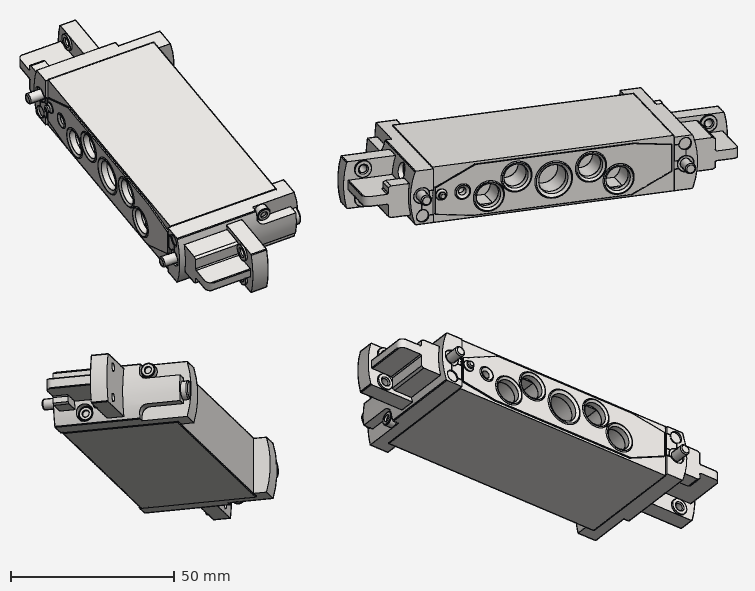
import cadquery as cq
import math


overall_length = 124.8
overall_depth = 47.5

housing_length = 78.4
housing_height = 18.3
housing_front = 0.7
housing_back = 37.8
housing_back_chamfer = 0.2
half_housing = housing_length / 2

gasket_front = 0.2
gasket_back = 2.6
gasket_half_outline = [(-38.5, 2.4), (-25.5, 8.4), (26.1, 8.4), (38.5, 6.4)]
lip_front = 0.0
lip_slope = 0.4
flare_end = 0.6

outer_port_x = 21.1
inner_port_x = 12.1
port_z = 2.6
small_port_places = [
    (-outer_port_x, -port_z),
    (-inner_port_x, port_z),
    (inner_port_x, port_z),
    (outer_port_x, -port_z),
]
small_port_diameter = 7.9
small_lip_diameter = 10.1
centre_port_diameter = 9.5
centre_lip_diameter = 12.2
port_end = 10.0
port_flat = 6.0

pilot_x = -29.6
pilot_diameter = 2.5
pilot_lip_diameter = 5.1

peg_x = -36.6
peg_diameter = 2.2
peg_base_diameter = 3.6
peg_base_front = 0.0
peg_taper_front = -0.5
peg_tip_chamfer = 0.4
peg_front = -1.5

cap_half_height = 8.9
cap_edge_x = 45.2
cap_middle_x = 46.7
cap_edge_back = 41.9
cap_middle_back = 43.2
edge_chamfer = 0.2
hook_x = 36.3

screw_x = 42.9
screw_z = 0.5
screw_diameter = 3.4
screw_tip = cap_middle_back - overall_depth
screw_tip_chamfer = 0.4
screw_bore_diameter = 5.2
screw_bore_depth = 0.6
screw_slot_depth = 0.4
screw_slot_width = 2.6
screw_head_diameter = 6.0
screw_head_back = 42.8
screw_head_chamfer = 0.4
screw_seat = 40.7

pocket_x = 43.0
pocket_front = 27.5
pocket_radius = 2.6
ridge_width = 8.2

side_screw_diameter = 4.5
side_screw_chamfer = 0.2
side_socket_diameter = 2.2
side_socket_depth = 0.7
pocket_screw_place = (30.1, -6.5)
pocket_screw_top = 45.5
sunk_screw_place = (9.9, 5.4)
sunk_screw_bore = 5.2
sunk_screw_floor = 44.0
sunk_screw_top = 44.9

vent_depth = 0.2
vent_diameter = 4.0
vent_place = (-42.7, -6.2)
vent_hole_depth = 0.6

lug_front = 17.0
lug_back = 22.3
lug_half_height = 7.7
lug_edge_x = 61.4
lug_hole_x = 56.2
lug_hole_z = 4.9
lug_hole_diameter = 2.5
lug_hole_chamfer = 0.4
lug_boss_diameter = 5.4
lug_boss_height = 0.6

tongue_x = 61.0
tongue_front = 2.0
tongue_half_height = 1.6
tongue_radius = 2.1
rib_foot_x = 53.2
rib_crest_x = 52.3
upper_rib_z = 4.2
upper_rib_back = 6.9
lower_rib_z = -6.2
rib_crest_drop = 0.5
rib_root_chamfer = 0.4


def box(x_range, y_range, z_range):
    """Axis-aligned box between the given limits."""
    (x0, x1), (y0, y1), (z0, z1) = x_range, y_range, z_range
    return cq.Workplane("XY").box(x1 - x0, y1 - y0, z1 - z0, centered=False).translate((x0, y0, z0))


def rod(x, z, diameter, front, back):
    """Cylinder along Y."""
    return cq.Workplane("XZ", origin=(x, front, z)).circle(diameter / 2).extrude(front - back)


def side_rod(place, diameter, x_inner, x_outer):
    """Cylinder along X in the left end cap, between two distances from the centre."""
    y, z = place
    plane = cq.Workplane("YZ", origin=(-x_outer, y, z))
    return plane.circle(diameter / 2).extrude(x_outer - x_inner)


def turned(outline, x, z):
    """Solid of revolution about a line along Y; the outline is in (radius, Y)."""
    profile = cq.Workplane("XY").polyline(outline).close()
    return profile.revolve(360, (0, 0, 0), (0, 1, 0)).translate((x, 0, z))


def gasket_blank(front, back):
    """Plate with the gasket outline, which maps onto itself by half a turn about Y."""
    opposite = [(-x, -z) for x, z in gasket_half_outline]
    plane = cq.Workplane("XZ", origin=(0, front, 0))
    return plane.polyline(gasket_half_outline + opposite).close().extrude(front - back)


def make_housing():
    body = box(
        (-half_housing, half_housing),
        (housing_front, housing_back),
        (-housing_height / 2, housing_height / 2),
    )
    body = body.cut(gasket_blank(housing_front, gasket_back))
    inside = box((-half_housing, half_housing), (0, port_end), (-port_flat, port_flat))
    for x, z in small_port_places:
        body = body.cut(rod(x, z, small_port_diameter, gasket_back, port_end).intersect(inside))
    body = body.cut(rod(0, 0, centre_port_diameter, gasket_back, port_end))
    body = body.cut(rod(pilot_x, 0, pilot_diameter, gasket_back, port_end))
    return body.faces(">Y").edges("|X").chamfer(housing_back_chamfer)


def make_lip(x, z, outer_diameter):
    """Raised sealing disc with a sloping edge, solid until its port is cut."""
    radius = outer_diameter / 2
    outline = [
        (0, gasket_back),
        (radius, gasket_back),
        (radius, gasket_front),
        (radius - lip_slope, lip_front),
        (0, lip_front),
    ]
    return turned(outline, x, z)


def make_port_cutter(x, z, diameter, lip_diameter):
    """Port through the gasket, flared out to the ridge of its lip."""
    radius = diameter / 2
    outline = [
        (0, gasket_back),
        (radius, gasket_back),
        (radius, flare_end),
        (lip_diameter / 2 - lip_slope, lip_front),
        (0, lip_front),
    ]
    return turned(outline, x, z)


def make_gasket():
    ports = [(x, z, small_port_diameter, small_lip_diameter) for x, z in small_port_places]
    ports.append((0, 0, centre_port_diameter, centre_lip_diameter))
    ports.append((pilot_x, 0, pilot_diameter, pilot_lip_diameter))

    seal = gasket_blank(gasket_front, gasket_back)
    for x, z, _, lip_diameter in ports:
        seal = seal.union(make_lip(x, z, lip_diameter))
    for x, z, diameter, lip_diameter in ports:
        seal = seal.cut(make_port_cutter(x, z, diameter, lip_diameter))

    peg_outline = [
        (0, gasket_back),
        (peg_base_diameter / 2, gasket_back),
        (peg_base_diameter / 2, peg_base_front),
        (peg_diameter / 2, peg_taper_front),
        (peg_diameter / 2, peg_front + peg_tip_chamfer),
        (peg_diameter / 2 - peg_tip_chamfer, peg_front),
        (0, peg_front),
    ]
    return seal.union(turned(peg_outline, peg_x, 0))


def make_cap_block():
    """Cap with bowed outer and rear sides, hooked behind the housing."""
    outer = (
        cq.Workplane("XZ")
        .moveTo(-hook_x, -cap_half_height)
        .lineTo(edge_chamfer - cap_edge_x, -cap_half_height)
        .lineTo(-cap_edge_x, edge_chamfer - cap_half_height)
        .threePointArc((-cap_middle_x, 0), (-cap_edge_x, cap_half_height - edge_chamfer))
        .lineTo(edge_chamfer - cap_edge_x, cap_half_height)
        .lineTo(-hook_x, cap_half_height)
        .close()
        .extrude(-cap_middle_back)
    )
    rear = (
        cq.Workplane("YZ", origin=(-cap_middle_x, 0, 0))
        .moveTo(0, -cap_half_height)
        .lineTo(cap_edge_back, -cap_half_height)
        .threePointArc((cap_middle_back, 0), (cap_edge_back, cap_half_height))
        .lineTo(0, cap_half_height)
        .close()
        .extrude(cap_middle_x)
    )
    housing_space = box((-half_housing, 0), (0, housing_back), (-cap_half_height, cap_half_height))
    return outer.intersect(rear).cut(housing_space)


def screw_head_space():
    """Space behind the rib, open to the outer side, that holds the main screw head."""
    return box(
        (-cap_middle_x, -pocket_x),
        (screw_seat, cap_middle_back),
        (-cap_half_height, cap_half_height),
    )


def cut_pockets(cap):
    """Two corner pockets with a rib between them, and the seat of the main screw head."""
    x_range = (-cap_middle_x, -pocket_x)
    y_range = (pocket_front, cap_middle_back)
    upper = box(x_range, y_range, (screw_z + ridge_width / 2, cap_half_height))
    lower = box(x_range, y_range, (-cap_half_height, screw_z - ridge_width / 2))
    cap = cap.cut(upper.edges("|X and <Y and <Z").fillet(pocket_radius))
    cap = cap.cut(lower.edges("|X and <Y and >Z").fillet(pocket_radius))
    return cap.cut(screw_head_space())


def cut_front_recesses(cap):
    """Screw counterbore with its slot, vent recess and shallow vent hole in the mounting face."""
    vent_x, vent_z = vent_place
    slot_z = (screw_z - screw_slot_width / 2, screw_z + screw_slot_width / 2)
    cap = cap.cut(rod(-screw_x, screw_z, screw_bore_diameter, 0, screw_bore_depth))
    cap = cap.cut(box((-screw_x, -half_housing), (0, screw_slot_depth), slot_z))
    cap = cap.cut(box((-screw_x, -half_housing), (0, vent_depth), (vent_z, screw_z)))
    return cap.cut(rod(vent_x, vent_z, vent_diameter, 0, vent_hole_depth))


def add_main_screw(cap):
    shank = rod(-screw_x, screw_z, screw_diameter, screw_tip, screw_bore_depth)
    shank = shank.faces("<Y").chamfer(screw_tip_chamfer)
    head = rod(-screw_x, screw_z, screw_head_diameter, screw_seat, screw_head_back)
    head = head.faces(">Y").chamfer(screw_head_chamfer)
    return cap.union(shank).union(head.intersect(screw_head_space()))


def make_side_screw(place, x_inner, x_outer):
    socket = side_rod(place, side_socket_diameter, x_outer - side_socket_depth, x_outer)
    screw = side_rod(place, side_screw_diameter, x_inner, x_outer)
    return screw.faces("<X").chamfer(side_screw_chamfer).cut(socket)


def add_side_screws(cap):
    cap = cap.union(make_side_screw(pocket_screw_place, pocket_x, pocket_screw_top))
    cap = cap.cut(side_rod(sunk_screw_place, sunk_screw_bore, sunk_screw_floor, cap_middle_x))
    return cap.union(make_side_screw(sunk_screw_place, sunk_screw_floor, sunk_screw_top))


def make_lug():
    """Upright plate with two bossed through holes."""
    lug = (
        cq.Workplane("XZ", origin=(0, lug_front, 0))
        .moveTo(-cap_edge_x, -lug_half_height)
        .lineTo(edge_chamfer - lug_edge_x, -lug_half_height)
        .lineTo(-lug_edge_x, edge_chamfer - lug_half_height)
        .threePointArc((-overall_length / 2, 0), (-lug_edge_x, lug_half_height - edge_chamfer))
        .lineTo(edge_chamfer - lug_edge_x, lug_half_height)
        .lineTo(-cap_edge_x, lug_half_height)
        .close()
        .extrude(lug_front - lug_back)
    )
    boss_front = lug_front - lug_boss_height
    hole_radius = lug_hole_diameter / 2
    hole_outline = [
        (0, lug_back),
        (hole_radius, lug_back),
        (hole_radius, boss_front + lug_hole_chamfer),
        (hole_radius + lug_hole_chamfer, boss_front),
        (0, boss_front),
    ]
    for z in (-lug_hole_z, lug_hole_z):
        lug = lug.union(rod(-lug_hole_x, z, lug_boss_diameter, boss_front, lug_front))
    for z in (-lug_hole_z, lug_hole_z):
        lug = lug.cut(turned(hole_outline, -lug_hole_x, z))
    return lug


def make_rib(z_crest, back):
    """Thick root of the tongue on one side, with a sloping end."""
    side = math.copysign(1, z_crest)
    z_root = side * tongue_half_height
    outline = [
        (-cap_edge_x, 0),
        (-rib_foot_x - rib_root_chamfer, 0),
        (-rib_foot_x - rib_root_chamfer, z_root),
        (-rib_foot_x, z_root + side * rib_root_chamfer),
        (-rib_foot_x, z_crest - side * rib_crest_drop),
        (-rib_crest_x, z_crest),
        (-cap_edge_x, z_crest),
    ]
    plane = cq.Workplane("XZ", origin=(0, tongue_front, 0))
    return plane.polyline(outline).close().extrude(tongue_front - back)


def make_tongue():
    tongue = box(
        (-tongue_x, -cap_edge_x),
        (tongue_front, lug_front),
        (-tongue_half_height, tongue_half_height),
    )
    rounded = tongue.edges("|Z and <X and <Y").fillet(tongue_radius)
    tongue = tongue.faces("<X").edges("|Y").chamfer(edge_chamfer).intersect(rounded)
    tongue = tongue.union(make_rib(upper_rib_z, upper_rib_back))
    return tongue.union(make_rib(lower_rib_z, lug_front))


def make_end_cap():
    cap = make_cap_block()
    cap = cut_pockets(cap)
    cap = cut_front_recesses(cap)
    cap = add_main_screw(cap)
    cap = cap.union(make_lug()).union(make_tongue())
    return add_side_screws(cap)


housing = make_housing()
gasket = make_gasket()
end_caps = [make_end_cap().rotate((0, 0, 0), (0, 1, 0), angle) for angle in (0, 180)]

bodies = [housing, gasket, *end_caps]
result = cq.Compound.makeCompound([solid for body in bodies for solid in body.solids().vals()])